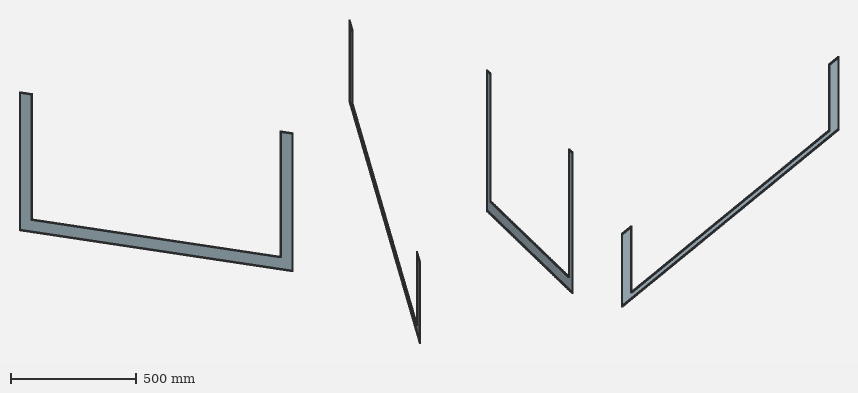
import cadquery as cq

width = 1187.0
height = 584.0
thickness = 0.13

strip_width = 52.0

inner_width = width - 2 * strip_width
inner_height = height - strip_width

sheet = cq.Workplane("XY").box(width, thickness, height, centered=(True, True, False))

opening = (
    cq.Workplane("XY")
    .workplane(offset=strip_width)
    .box(inner_width, thickness, inner_height, centered=(True, True, False))
)

result = sheet.cut(opening)